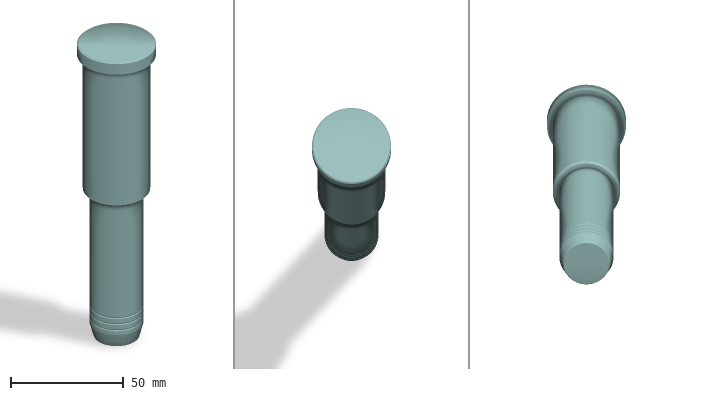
import cadquery as cq

total_length = 151.0
head_diameter = 35.0
body_diameter = 29.9
pin_diameter = 24.0
tip_diameter = 20.4

head_height = 6.0
shoulder_depth = 76.1
taper_height = 7.0

head_chamfer = 0.6
body_chamfer = 0.9
tip_fillet = 0.5

relief_height = 1.0
relief_floor = 0.5
relief_depth = 0.2

groove_width = 0.9
groove_depth = 0.3
groove_pitch = 3.2
groove_count = 3
lowest_groove_height = 9.4

head_underside = total_length - head_height
shoulder_height = total_length - shoulder_depth


def cylinder(diameter, bottom, top):
    return cq.Workplane("XY").workplane(offset=bottom).circle(diameter / 2).extrude(top - bottom)


def ring(*corners):
    """Solid ring around Z whose section is a polygon of (radius, height) corners."""
    return cq.Workplane("XZ").polyline(corners).close().revolve(360, (0, 0, 0), (0, 1, 0))


def relief(diameter, top):
    """Cutter that narrows a shaft just below the flat face above it."""
    radius = diameter / 2
    return ring(
        (radius, top - relief_height),
        (radius, top),
        (radius - relief_depth, top),
        (radius - relief_depth, top - relief_floor),
    )


def v_groove(diameter, valley_height):
    radius = diameter / 2
    return ring(
        (radius, valley_height - groove_width / 2),
        (radius, valley_height + groove_width / 2),
        (radius - groove_depth, valley_height),
    )


head = cylinder(head_diameter, head_underside, total_length).faces(">Z").edges().chamfer(head_chamfer)

body = cylinder(body_diameter, shoulder_height, head_underside).faces("<Z").edges().chamfer(body_chamfer)
body = body.cut(relief(body_diameter, head_underside))

pin = cylinder(pin_diameter, taper_height, shoulder_height)
pin = pin.cut(relief(pin_diameter, shoulder_height))
for index in range(groove_count):
    pin = pin.cut(v_groove(pin_diameter, lowest_groove_height + index * groove_pitch))

tip = (
    cq.Workplane("XY")
    .circle(tip_diameter / 2)
    .workplane(offset=taper_height)
    .circle(pin_diameter / 2)
    .loft(combine=True)
    .faces("<Z").edges().fillet(tip_fillet)
)

result = head.union(body).union(pin).union(tip)